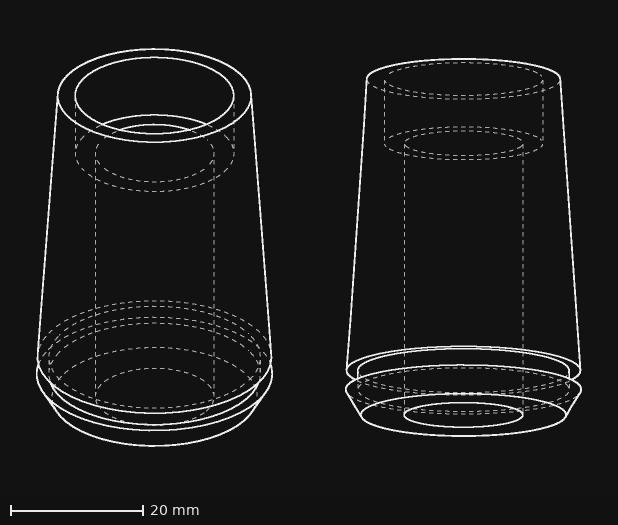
import cadquery as cq

height = 52.0

flange_base_radius = 15.55
flange_radius = 17.86
flange_height = 3.95

groove_radius = 16.0
groove_width = 2.9
body_bottom = flange_height + groove_width

body_bottom_radius = 17.75
body_top_radius = 14.65

bore_radius = 9.0
counterbore_radius = 12.0
counterbore_depth = 9.95
counterbore_floor = height - counterbore_depth

half_section = (
    cq.Workplane("XZ")
    .moveTo(bore_radius, 0)
    .lineTo(flange_base_radius, 0)
    .lineTo(flange_radius, flange_height)
    .lineTo(groove_radius, flange_height)
    .lineTo(groove_radius, body_bottom)
    .lineTo(body_bottom_radius, body_bottom)
    .lineTo(body_top_radius, height)
    .lineTo(counterbore_radius, height)
    .lineTo(counterbore_radius, counterbore_floor)
    .lineTo(bore_radius, counterbore_floor)
    .close()
)

result = half_section.revolve(360, (0, 0, 0), (0, 1, 0))